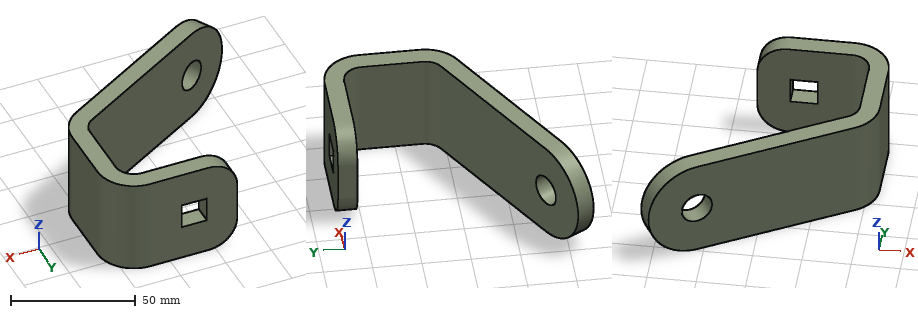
import cadquery as cq
import math

overall_depth = 99.4

width = 42.0
thickness = 8.0
inner_radius = 8.1
outer_radius = inner_radius + thickness

short_leg_length = 38.5
long_leg_length = 89.5
bend_angle = 60.0
long_leg_depth = (
    outer_radius * math.sin(math.radians(bend_angle))
    + long_leg_length * math.cos(math.radians(bend_angle))
)
back_length = overall_depth - outer_radius - long_leg_depth

corner_radius = 12.7
end_radius = width / 2
round_hole_diameter = 13.0
square_hole_side = 11.0
square_hole_from_end = 19.0


def bend(center_y, start_angle, sweep):
    """Curved stretch of bar centred on the common X = 0 line."""
    def at(radius, angle):
        a = math.radians(angle)
        return (radius * math.cos(a), center_y + radius * math.sin(a))

    middle = start_angle + sweep / 2
    end = start_angle + sweep
    return (
        cq.Workplane("XY")
        .moveTo(*at(inner_radius, start_angle))
        .lineTo(*at(outer_radius, start_angle))
        .threePointArc(at(outer_radius, middle), at(outer_radius, end))
        .lineTo(*at(inner_radius, end))
        .threePointArc(at(inner_radius, middle), at(inner_radius, start_angle))
        .close()
        .extrude(width)
    )


def bar(length):
    """Straight bar running toward -X from the origin, its lower face on Y = 0."""
    return cq.Workplane("XY").box(length, thickness, width, centered=False).translate((-length, 0, 0))


def short_leg():
    """Leg along X with rounded corners and a square hole."""
    leg = bar(short_leg_length).edges("<X and |Y").fillet(corner_radius)
    hole = cq.Workplane("XY").box(square_hole_side, 3 * thickness, square_hole_side)
    leg = leg.cut(hole.translate((square_hole_from_end - short_leg_length, 0, width / 2)))
    return leg.translate((0, back_length + inner_radius, 0))


def long_leg():
    """Slanted leg with a full-round end and a concentric round hole."""
    straight_length = long_leg_length - end_radius
    end_plane = cq.Workplane("XZ", origin=(-straight_length, thickness, width / 2))
    round_end = end_plane.circle(end_radius).extrude(thickness)
    hole = end_plane.circle(round_hole_diameter / 2).extrude(thickness)
    leg = bar(straight_length).union(round_end).cut(hole)
    leg = leg.translate((0, -outer_radius, 0))
    return leg.rotate((0, 0, 0), (0, 0, 1), 90 - bend_angle)


back = (
    cq.Workplane("XY")
    .box(thickness, back_length, width, centered=False)
    .translate((inner_radius, 0, 0))
)

result = (
    back.union(bend(back_length, 0, 90))
    .union(bend(0, -bend_angle, bend_angle))
    .union(short_leg())
    .union(long_leg())
)